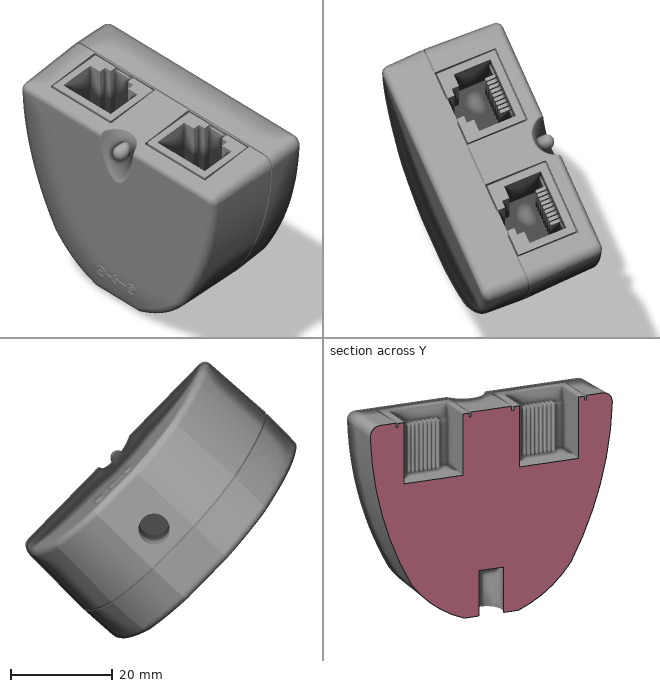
import cadquery as cq
import math

WIDTH = 53.05
HEIGHT = 42.95
CORNER_RADIUS = 2.35
SIDE_LEAN = 2.0
WAIST = (17.5, -34.35)
LOWER_MID = (12.35, -39.5)
NOSE_WIDTH = 11.75

FRONT_DEPTH = 16.4
REAR_DEPTH = 9.35
DRAFT = 2.1
FACE_FILLET = 1.5
SEAM_WIDTH = 0.35
SEAM_DEPTH = 0.25

SOCKET_X = 12.55
SOCKET_WIDTH = 16.25
SOCKET_HEIGHT = 13.15
SOCKET_GAP = 0.35
GAP_DEPTH = 0.8
JACK_TOP = -0.25
PLUG_DEPTH = 12.75
PLUG_WIDTH = 12.7
PLUG_BACK_Y = -3.4
PLUG_FRONT_Y = -11.3
LATCH_STEP_WIDTH = 7.55
LATCH_STEP_Y = -1.85
LATCH_WIDTH = 4.6
LEDGE_HEIGHT = 0.35
LEDGE_RECESS = 3.2
CONTACT_RECESS = 2.65
CONTACT_COUNT = 9
CONTACT_PITCH = 0.9
CONTACT_WIDTH = 0.65
CONTACT_HEIGHT = 2.3
CONTACT_TIP_FILLET = 0.25

HOLLOW_RADIUS = 4.45
HOLLOW_DEPTH = 4.1
HOLLOW_LENGTH = 11.1
HOLLOW_EDGE_FILLET = 0.35
LAMP_Z = -4.2
LAMP_RADIUS = 1.5
LAMP_TIP = 0.3
LAMP_GAP = 0.15
LAMP_SEAT_Y = -12.75

INLET_RADIUS = 3.1
INLET_Y = -5.3
INLET_DEPTH = 9.55

SYMBOL_Z = -36.9
SYMBOL_HEIGHT = 0.15
SYMBOL_LINE = 0.15
RING_X = 4.05
RING_RADIUS = 1.2
SIGN_LENGTH = 1.05
SIGN_WIDTH = 0.3
CUP_RADIUS = 1.1
PIN_SIZE = 0.65


def box(x_range, y_range, z_range):
    """Axis-aligned box between the given limits."""
    size = [high - low for low, high in (x_range, y_range, z_range)]
    corner = [low for low, high in (x_range, y_range, z_range)]
    return cq.Workplane("XY").box(*size, centered=False).translate(tuple(corner))


def outline():
    """Closed case outline facing -Y: arcs down each side, flat at the top and the nose."""
    lean = math.radians(SIDE_LEAN)
    corner_x = WIDTH / 2 - CORNER_RADIUS
    corner_end = (
        corner_x + CORNER_RADIUS * math.cos(lean),
        -CORNER_RADIUS - CORNER_RADIUS * math.sin(lean),
    )
    return (
        cq.Workplane("XZ")
        .lineTo(corner_x, 0)
        .tangentArcPoint(corner_end, relative=False)
        .tangentArcPoint(WAIST, relative=False)
        .threePointArc(LOWER_MID, (NOSE_WIDTH / 2, -HEIGHT))
        .lineTo(0, -HEIGHT)
        .mirrorY()
    )


def half_shell(depth):
    """Drafted half of the case, from the seam groove to a rounded face at Y = -depth."""
    seam_y = -SEAM_WIDTH / 2
    inset = (depth + seam_y) * math.tan(math.radians(DRAFT))
    seam_wire = outline().val().translate(cq.Vector(0, seam_y, 0))
    face_wire = outline().offset2D(-inset).val().translate(cq.Vector(0, -depth, 0))
    body = cq.Workplane(cq.Solid.makeLoft([seam_wire, face_wire], True)).clean()
    return body.faces("<Y").edges().fillet(FACE_FILLET)


def case():
    """Both half shells joined by a core that leaves the seam groove between them."""
    core = outline().offset2D(-SEAM_DEPTH).extrude(SEAM_WIDTH / 2 + 0.55, both=True)
    rear = half_shell(REAR_DEPTH).mirror("XZ")
    return half_shell(FRONT_DEPTH).union(rear).union(core)


def window(x):
    """Opening in the shell round one jack."""
    half = SOCKET_WIDTH / 2
    return box((x - half, x + half), (-SOCKET_HEIGHT, 0), (JACK_TOP - GAP_DEPTH, 0.55))


def jack(x):
    """Level block filling one window except for the clearance round it."""
    half = SOCKET_WIDTH / 2 - SOCKET_GAP
    return box(
        (x - half, x + half),
        (SOCKET_GAP - SOCKET_HEIGHT, -SOCKET_GAP),
        (JACK_TOP - GAP_DEPTH, JACK_TOP),
    )


def plug_opening(x):
    """Stepped opening for one plug, with its latch slot reaching the rear edge of the jack."""
    floor = JACK_TOP - PLUG_DEPTH
    plug = box((-PLUG_WIDTH / 2, PLUG_WIDTH / 2), (PLUG_FRONT_Y, PLUG_BACK_Y), (floor, 0.55))
    for width, back in ((LATCH_STEP_WIDTH, LATCH_STEP_Y), (LATCH_WIDTH, -SOCKET_GAP)):
        plug = plug.union(box((-width / 2, width / 2), (PLUG_FRONT_Y, back), (floor, 0.55)))
    return plug.translate((x, 0, 0))


def contacts(x):
    """Ledge and row of round-tipped contacts along the front wall of one plug opening."""
    bottom = JACK_TOP - PLUG_DEPTH
    row = box(
        (-PLUG_WIDTH / 2, PLUG_WIDTH / 2),
        (PLUG_FRONT_Y, PLUG_FRONT_Y + LEDGE_HEIGHT),
        (bottom, JACK_TOP - LEDGE_RECESS),
    )
    for index in range(CONTACT_COUNT):
        middle = (index - (CONTACT_COUNT - 1) / 2) * CONTACT_PITCH
        contact = box(
            (middle - CONTACT_WIDTH / 2, middle + CONTACT_WIDTH / 2),
            (PLUG_FRONT_Y, PLUG_FRONT_Y + CONTACT_HEIGHT),
            (bottom, JACK_TOP - CONTACT_RECESS),
        )
        row = row.union(contact.edges(">Y and |Z").fillet(CONTACT_TIP_FILLET))
    return row.translate((x, 0, 0))


def hollow():
    """Cylinder whose axis slopes so that it leaves the front face HOLLOW_LENGTH below the top."""
    tilt = math.degrees(math.atan2(HOLLOW_DEPTH, HOLLOW_LENGTH))
    run_out = (0, -FRONT_DEPTH, -HOLLOW_LENGTH)
    cylinder = cq.Workplane("XY").center(0, -HOLLOW_RADIUS).circle(HOLLOW_RADIUS)
    cylinder = cylinder.extrude(HOLLOW_LENGTH * 2, both=True)
    return cylinder.rotate((0, 0, 0), (1, 0, 0), -tilt).translate(run_out)


def cut_hollow(body):
    """Cut the hollow and round its rim."""
    body = body.cut(hollow())
    rim_zone = cq.selectors.BoxSelector(
        (-HOLLOW_RADIUS - 0.55, -FRONT_DEPTH - 0.55, -HOLLOW_LENGTH - 0.55),
        (HOLLOW_RADIUS + 0.55, HOLLOW_DEPTH - FRONT_DEPTH + 2.65, 0.55),
    )
    return body.edges(rim_zone).fillet(HOLLOW_EDGE_FILLET)


def add_lamp(body):
    """Domed lamp standing in a clearance hole in the hollow."""
    tip = -FRONT_DEPTH - LAMP_TIP
    seat = cq.Workplane("XZ", origin=(0, LAMP_SEAT_Y, LAMP_Z))
    hole = seat.circle(LAMP_RADIUS + LAMP_GAP).extrude(LAMP_SEAT_Y - tip)
    lamp = seat.circle(LAMP_RADIUS).extrude(LAMP_SEAT_Y - tip - LAMP_RADIUS)
    dome = cq.Workplane("XY").sphere(LAMP_RADIUS).translate((0, tip + LAMP_RADIUS, LAMP_Z))
    return body.cut(hole).union(lamp).union(dome)


def inlet():
    """Round hole for the power plug, up from the flat at the bottom."""
    return cq.Workplane("XY", origin=(0, INLET_Y, -HEIGHT)).circle(INLET_RADIUS).extrude(INLET_DEPTH)


def polarity_symbol():
    """Raised symbol: minus ring, cup with a centre pin, plus ring, joined by lines."""
    face = cq.Workplane("XZ", origin=(0, -FRONT_DEPTH, SYMBOL_Z))

    def bar(middle, width, height):
        return face.center(middle, 0).rect(width, height).extrude(SYMBOL_HEIGHT)

    def ring(middle, radius):
        return face.center(middle, 0).circle(radius).circle(radius - SYMBOL_LINE).extrude(SYMBOL_HEIGHT)

    def link(start, end):
        return bar((start + end) / 2, end - start, SYMBOL_LINE)

    cup_left = bar(-CUP_RADIUS / 2, CUP_RADIUS, 2 * CUP_RADIUS)
    parts = (
        ring(-RING_X, RING_RADIUS),
        bar(-RING_X, SIGN_LENGTH, SIGN_WIDTH),
        link(-RING_X + RING_RADIUS - SYMBOL_LINE, -CUP_RADIUS + SYMBOL_LINE),
        ring(0, CUP_RADIUS).intersect(cup_left),
        bar(0, PIN_SIZE, PIN_SIZE),
        link(PIN_SIZE / 2, RING_X - RING_RADIUS + SYMBOL_LINE),
        ring(RING_X, RING_RADIUS),
        bar(RING_X, SIGN_LENGTH, SIGN_WIDTH),
        bar(RING_X, SIGN_WIDTH, SIGN_LENGTH),
    )
    symbol = parts[0]
    for part in parts[1:]:
        symbol = symbol.union(part)
    return symbol


result = case()
for side in (-1, 1):
    socket_x = side * SOCKET_X
    result = result.cut(window(socket_x)).union(jack(socket_x))
    result = result.cut(plug_opening(socket_x)).union(contacts(socket_x))
result = cut_hollow(result)
result = add_lamp(result)
result = result.cut(inlet())
result = result.union(polarity_symbol())